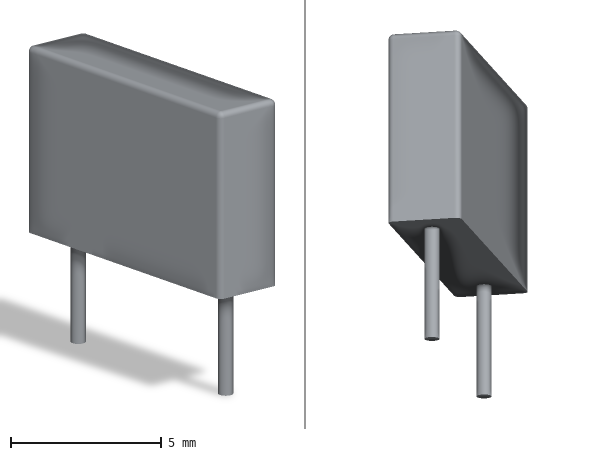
import cadquery as cq

TOTAL_HEIGHT = 10.3
CASE_LENGTH = 10.0
CASE_DEPTH = 2.5
LEAD_LENGTH = 3.8
CASE_HEIGHT = TOTAL_HEIGHT - LEAD_LENGTH
CASE_EDGE_RADIUS = 0.2

LEAD_DIAMETER = 0.5
LEAD_PITCH = 7.62


def make_case():
    """Box standing on Z = 0, rounded on every edge except around its flat base."""
    case = cq.Workplane("XY").box(CASE_LENGTH, CASE_DEPTH, CASE_HEIGHT, centered=(True, True, False))
    return case.edges("|Z or >Z").fillet(CASE_EDGE_RADIUS)


def make_lead(x):
    """Round lead hanging from the base of the case at the given X."""
    return cq.Workplane("XY").center(x, 0).circle(LEAD_DIAMETER / 2).extrude(-LEAD_LENGTH)


case = make_case()
leads = [make_lead(side * LEAD_PITCH / 2) for side in (-1, 1)]

result = cq.Compound.makeCompound([case.val(), *[lead.val() for lead in leads]])